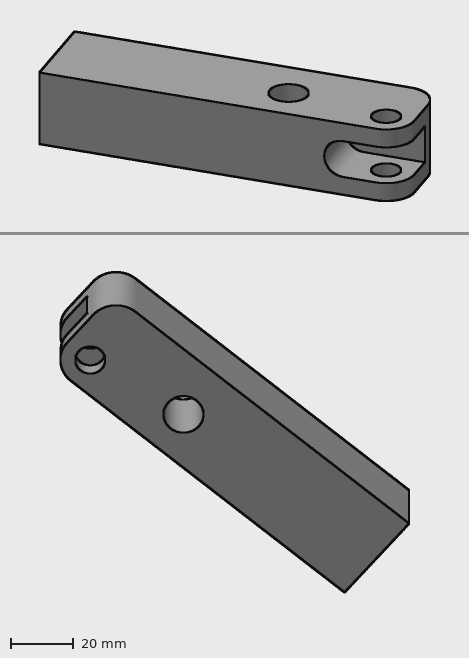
import cadquery as cq

length = 123.8
width = 31.7
height = 25.4
corner_radius = 9.5

pivot_diameter = 9.5
pivot_x = length - corner_radius
pivot_y = corner_radius

body_hole_diameter = 12.8
body_hole_x = 79.4
body_hole_y = 14.2

slot_height = height / 2
slot_length = 27.0
slot_depth = 2 * pivot_y


def make_body():
    block = cq.Workplane("XY").box(length, width, height, centered=False)
    return block.edges("|Z and >X").fillet(corner_radius)


def vertical_hole(x, y, diameter):
    return cq.Workplane("XY").center(x, y).circle(diameter / 2).extrude(height)


def make_slot():
    end_radius = slot_height / 2
    middle = height / 2
    slot_start = length - slot_length
    arc_center_x = slot_start + end_radius
    return (
        cq.Workplane("XZ")
        .moveTo(length, middle - end_radius)
        .lineTo(arc_center_x, middle - end_radius)
        .threePointArc((slot_start, middle), (arc_center_x, middle + end_radius))
        .lineTo(length, middle + end_radius)
        .close()
        .extrude(-slot_depth)
    )


result = (
    make_body()
    .cut(make_slot())
    .cut(vertical_hole(pivot_x, pivot_y, pivot_diameter))
    .cut(vertical_hole(body_hole_x, body_hole_y, body_hole_diameter))
)